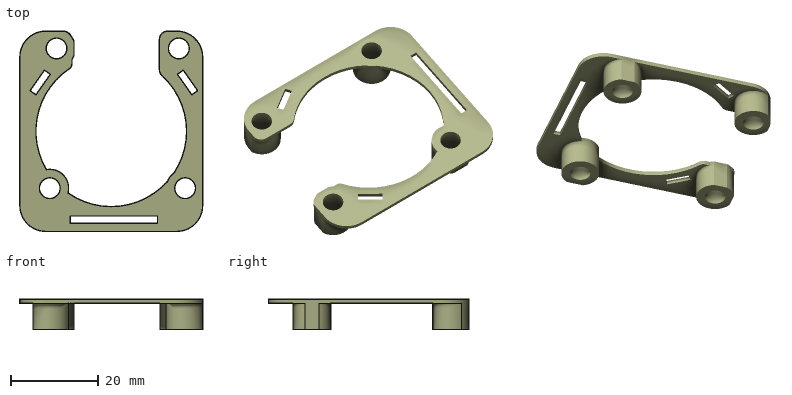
import cadquery as cq
import math

PLATE_WIDTH = 42.0
PLATE_LENGTH = 46.0
PLATE_THICKNESS = 1.0
PLATE_CORNER_RADIUS = 6.0
HALF_LENGTH = PLATE_LENGTH / 2

OPENING_RADIUS = 17.25
GAP_LEFT = -9.0
GAP_RIGHT = 11.0
GAP_TIP_RADIUS = 2.0
GAP_LEFT_ROOT_RADIUS = 1.25
GAP_RIGHT_ROOT_RADIUS = 2.0

BOSS_RADIUS = 4.35
BOSS_HEIGHT = 6.0
TOTAL_HEIGHT = BOSS_HEIGHT + PLATE_THICKNESS
HOLE_DIAMETER = 4.7
FRONT_HOLE_Y = -13.05
BACK_HOLE_Y = 19.0
FRONT_LEFT_BOSS = (-14.1, FRONT_HOLE_Y)
FRONT_RIGHT_BOSS = (16.95, FRONT_HOLE_Y)
BACK_LEFT_BOSS = (-12.55, BACK_HOLE_Y)
BACK_RIGHT_BOSS = (15.5, BACK_HOLE_Y)
BOSSES = [FRONT_LEFT_BOSS, FRONT_RIGHT_BOSS, BACK_LEFT_BOSS, BACK_RIGHT_BOSS]
FRONT_LEFT_FLAT_X = -18.0
BACK_LEFT_FLAT_X = -8.5

SLOT_WIDTH = 1.6
SLOT_CENTRE_X = 0.6
LONG_SLOT_LENGTH = 20.0
LONG_SLOT_Y = -20.25
SHORT_SLOT_LENGTH = 5.7
SHORT_SLOT_OFFSET = 16.9
SHORT_SLOT_Y = 11.2
SHORT_SLOT_ANGLE = 55.0


def outer_block(bottom, height):
    """Rounded rectangle that bounds the plate and the bosses."""
    return (
        cq.Workplane("XY")
        .workplane(offset=bottom)
        .rect(PLATE_WIDTH, PLATE_LENGTH)
        .extrude(height)
        .edges("|Z")
        .fillet(PLATE_CORNER_RADIUS)
    )


def edge_at(x, y):
    """Selector for the vertical plate edge that passes through (x, y)."""
    return cq.selectors.NearestToPointSelector((x, y, PLATE_THICKNESS / 2))


def opening_y(x):
    """Y of the +Y half of the round opening at the given X."""
    return math.sqrt(OPENING_RADIUS**2 - x**2)


def make_plate():
    """Plate with its round opening, its gap and the rounded gap corners."""
    opening = cq.Workplane("XY").circle(OPENING_RADIUS).extrude(PLATE_THICKNESS)
    gap = cq.Workplane("XY").box(
        GAP_RIGHT - GAP_LEFT, HALF_LENGTH, PLATE_THICKNESS, centered=False
    ).translate((GAP_LEFT, 0, 0))
    plate = outer_block(0, PLATE_THICKNESS).cut(opening).cut(gap)
    for x, root_radius in [
        (GAP_LEFT, GAP_LEFT_ROOT_RADIUS),
        (GAP_RIGHT, GAP_RIGHT_ROOT_RADIUS),
    ]:
        plate = plate.edges("|Z").edges(edge_at(x, HALF_LENGTH)).fillet(GAP_TIP_RADIUS)
        plate = plate.edges("|Z").edges(edge_at(x, opening_y(x))).fillet(root_radius)
    return plate


def make_boss(centre):
    """Solid boss from its foot up to the top of the plate."""
    return (
        cq.Workplane("XY")
        .workplane(offset=-BOSS_HEIGHT)
        .center(*centre)
        .circle(BOSS_RADIUS)
        .extrude(TOTAL_HEIGHT)
    )


def make_flat_cutter(flat_x, boss_y, side):
    """Block that trims a boss to a flat at X = flat_x; side is the sign of X removed."""
    return cq.Workplane("XY").box(2 * BOSS_RADIUS, 2 * BOSS_RADIUS, TOTAL_HEIGHT).translate(
        (flat_x + side * BOSS_RADIUS, boss_y, PLATE_THICKNESS - TOTAL_HEIGHT / 2)
    )


def make_bosses():
    """All bosses, trimmed to the plate outline and by their flats."""
    bosses = cq.Workplane("XY")
    for centre in BOSSES:
        bosses = bosses.add(make_boss(centre))
    bosses = outer_block(-BOSS_HEIGHT, TOTAL_HEIGHT).intersect(bosses.combine())
    bosses = bosses.cut(make_flat_cutter(FRONT_LEFT_FLAT_X, FRONT_HOLE_Y, -1))
    return bosses.cut(make_flat_cutter(BACK_LEFT_FLAT_X, BACK_HOLE_Y, 1))


def make_holes():
    """Through holes along the boss axes."""
    return (
        cq.Workplane("XY")
        .workplane(offset=-BOSS_HEIGHT)
        .pushPoints(BOSSES)
        .circle(HOLE_DIAMETER / 2)
        .extrude(TOTAL_HEIGHT)
    )


def make_slot(x, y, length, angle):
    """Cutter for a straight slot through the plate, turned about its centre."""
    return (
        cq.Workplane("XY")
        .rect(length, SLOT_WIDTH)
        .extrude(PLATE_THICKNESS)
        .rotate((0, 0, 0), (0, 0, 1), angle)
        .translate((x, y, 0))
    )


result = make_plate().union(make_bosses()).cut(make_holes())
result = result.cut(make_slot(SLOT_CENTRE_X, LONG_SLOT_Y, LONG_SLOT_LENGTH, 0))
for side in (-1, 1):
    slot_x = SLOT_CENTRE_X + side * SHORT_SLOT_OFFSET
    result = result.cut(make_slot(slot_x, SHORT_SLOT_Y, SHORT_SLOT_LENGTH, -side * SHORT_SLOT_ANGLE))